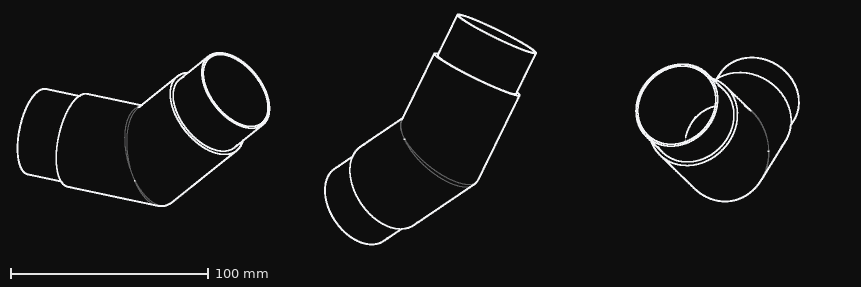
import cadquery as cq
import math

bend_angle = 45.0
overall_length = 128.3
spigot_length = 23.0
body_radius = 24.1
spigot_radius = 22.2
bore_radius = 21.2
bend_blend_radius = 2.6
flank_share = 0.01

bend = math.radians(bend_angle)
leg_length = (overall_length - spigot_radius * math.sin(bend)) / (1 + math.cos(bend))
blend_half_width = (1 - flank_share) * body_radius
body_length = leg_length - spigot_length
mitre_reach = body_radius * math.tan(bend / 2)
trim_size = 4 * leg_length


def mitred_cylinder(radius, length):
    """Cylinder along -X from the axis crossing, trimmed on the mitre plane."""
    cylinder = (
        cq.Workplane("YZ")
        .workplane(offset=-length)
        .circle(radius)
        .extrude(length + mitre_reach)
    )
    far_side = (
        cq.Workplane("XY")
        .box(trim_size, trim_size, trim_size)
        .translate((trim_size / 2, 0, 0))
        .rotate((0, 0, 0), (0, 1, 0), -bend_angle / 2)
    )
    return cylinder.cut(far_side)


def mitred_elbow(radius, length):
    """Two equal cylinders meeting on the mitre plane, the second rising."""
    leg = mitred_cylinder(radius, length)
    second_leg = leg.mirror("YZ").rotate((0, 0, 0), (0, 1, 0), -bend_angle)
    return leg.union(second_leg)


def blend_mitre(elbow):
    """Round the mitre edge at the inside and outside of the bend.

    The edge fades into a smooth wall at both flanks, so only the slab between
    the flanks is rounded before it is joined to them again.
    """
    slab = cq.Workplane("XY").box(trim_size, 2 * blend_half_width, trim_size)
    flanks = elbow.cut(slab)
    middle = elbow.intersect(slab)
    near_crossing = cq.selectors.BoxSelector(
        (-mitre_reach, -body_radius, -trim_size),
        (mitre_reach, body_radius, trim_size),
    )
    rounded = middle.edges("%ELLIPSE").edges(near_crossing).fillet(bend_blend_radius)
    return rounded.union(flanks)


body = blend_mitre(mitred_elbow(body_radius, body_length))
spigots = mitred_elbow(spigot_radius, leg_length)
bore = mitred_elbow(bore_radius, leg_length)

result = body.union(spigots).cut(bore)